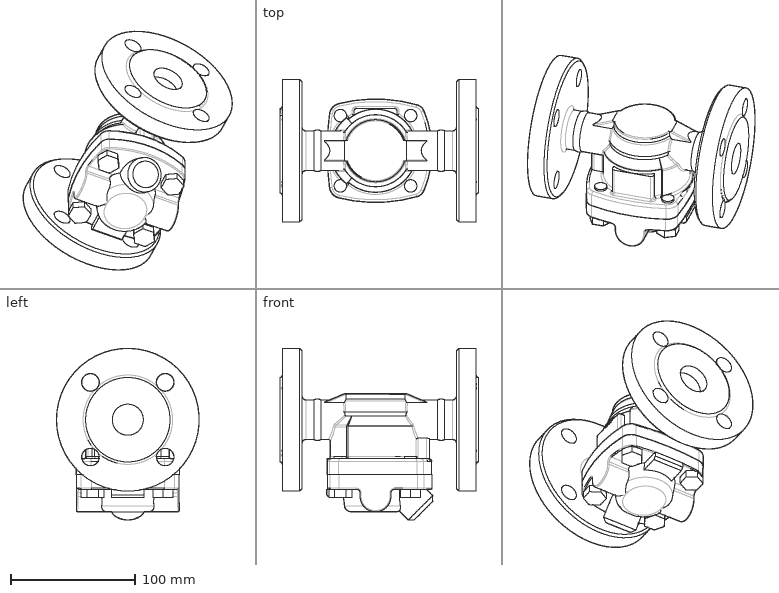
import cadquery as cq
import math

BODY_X = -3.0

HALF_LENGTH = 80.0
FLANGE_RADIUS = 57.5
FLANGE_TOTAL = 18.0
FLANGE_CHAMFER = 2.0
FACE_RADIUS = 34.0
FACE_HEIGHT = 2.0
BOLT_CIRCLE_RADIUS = 42.5
BOLT_HOLE_DIAMETER = 14.0
BOLT_HOLES = 4
BORE_DIAMETER = 25.0
BORE_DEPTH = 10.0
PIPE_RADIUS = 16.0
NECK_FILLET = 3.0
BEAD_START = 47.0
BEAD_WIDTH = 5.7
BEAD_HEIGHT = 0.8

CAP_TOP = 21.0
CAP_RADIUS = 25.0
CAP_ROUND = 0.9
CAP_BOTTOM = 16.8
NECK_TOP_RADIUS = 25.8
NECK_TOP = 15.2
SHOULDER_RADIUS = 29.0
SHOULDER_TOP = 6.0
SHOULDER_BOTTOM = 3.0
BARREL_RADIUS = 33.5
BARREL_TOP = -5.0
BARREL_ROUND = 2.0
INLET_OFFSET = 3.0
INLET_HALF_ANGLE = 49.0
BASE_FILLET = 1.7
BODY_PIPE_FILLET = 1.5

FIN_HALF_WIDTH = 8.3
FIN_FLAT = 25.0
FIN_REACH = 41.5
FIN_TIP_Z = 14.0
FIN_ROUND = 1.0

RIB_HALF_WIDTH = 6.0
RIB_END = 43.6
RIB_ROUND = 2.5
PLATE_PAD_HALF_WIDTH = 17.3
PLATE_PAD_Y = 33.9
PLATE_PAD_TOP = -8.0
PLATE_PAD_ROUND = 2.0

JOINT_TOP = -31.4
JOINT_SPLIT = -44.1
JOINT_BOTTOM = -56.0
FLANGE_HALF_WIDTH = 41.7
COVER_HALF_WIDTH = 41.4
JOINT_LEFT = -39.0
JOINT_RIGHT = 45.3
COVER_SHIFT = 0.3
SIDE_ARC_RADIUS = 122.0
LEFT_ARC_RADIUS = 230.0
RIGHT_ARC_RADIUS = 82.0
LEFT_CORNER = 10.0
RIGHT_CORNER = 8.5
JOINT_TOP_ROUND = 2.2

COVER_BOLTS = 4
FIRST_BOLT_ANGLE = 45.0
HEAD_SIDES = 6
HEAD_TURN = 45.0
STUD_PITCH = 40.0
STUD_DIAMETER = 10.0
STUD_TOP = -29.8
HEAD_ACROSS_FLATS = 16.0
HEAD_BOTTOM = -62.6

CUP_FLOOR_RADIUS = 21.4
CUP_DRAFT = 8.0
CUP_BOTTOM = -74.1
CUP_ROUND = 5.5
TONGUE_RADIUS = 12.4
TONGUE_ROOT_ROUND = 3.0
TONGUE_EDGE_ROUND = 0.9
LUG_END = -39.4
LUG_HALF_WIDTH = 13.0
LUG_BOTTOM = -62.6
LUG_CHAMFER = 2.2

PORT_RADIUS = 14.0
PORT_CHAMFER = 3.3
PORT_LOWEST = -80.77
PORT_END_X = 38.5

ARC_MIDDLE = 1 - math.sqrt(0.5)
LEVEL_TOLERANCE = 0.01
SLAB_RADIUS = 39.0
SLAB_DEPTH = 3.0


class PipeSeam(cq.Selector):
    """Edges that lie on the pipe surface around the body, along the body-to-pipe seam."""

    def filter(self, objects):
        return [edge for edge in objects if self.on_seam(edge)]

    @staticmethod
    def on_seam(edge):
        points = [edge.positionAt(t) for t in (0, 0.3, 0.6, 1)]
        on_pipe = all(abs(math.hypot(p.y, p.z) - PIPE_RADIUS) < LEVEL_TOLERANCE for p in points)
        return on_pipe and max(abs(p.x) for p in points) < BEAD_START


def at_body(shape):
    """Move a shape built about the Z axis onto the body axis."""
    return shape.translate((BODY_X, 0, 0))


def box(x_min, x_max, y_min, y_max, z_min, z_max):
    size = (x_max - x_min, y_max - y_min, z_max - z_min)
    return cq.Workplane("XY").box(*size, centered=False).translate((x_min, y_min, z_min))


def disc(x, y, radius, z_min, z_max):
    return cq.Workplane("XY", origin=(x, y, z_min)).circle(radius).extrude(z_max - z_min)


def pipe_end():
    """Outlet half of the pipe with its weld bead and flange."""
    back = HALF_LENGTH - FLANGE_TOTAL
    front = HALF_LENGTH - FACE_HEIGHT
    half = (
        cq.Workplane("XY")
        .moveTo(0, 0)
        .lineTo(0, PIPE_RADIUS)
        .lineTo(BEAD_START, PIPE_RADIUS)
        .threePointArc(
            (BEAD_START + BEAD_WIDTH / 2, PIPE_RADIUS + BEAD_HEIGHT),
            (BEAD_START + BEAD_WIDTH, PIPE_RADIUS),
        )
        .lineTo(back - NECK_FILLET, PIPE_RADIUS)
        .threePointArc(
            (back - NECK_FILLET * ARC_MIDDLE, PIPE_RADIUS + NECK_FILLET * ARC_MIDDLE),
            (back, PIPE_RADIUS + NECK_FILLET),
        )
        .lineTo(back, FLANGE_RADIUS - FLANGE_CHAMFER)
        .lineTo(back + FLANGE_CHAMFER, FLANGE_RADIUS)
        .lineTo(front, FLANGE_RADIUS)
        .lineTo(front, FACE_RADIUS + FACE_HEIGHT)
        .threePointArc(
            (front + FACE_HEIGHT * ARC_MIDDLE, FACE_RADIUS + FACE_HEIGHT * ARC_MIDDLE),
            (HALF_LENGTH, FACE_RADIUS),
        )
        .lineTo(HALF_LENGTH, 0)
        .close()
        .revolve(360, (0, 0, 0), (1, 0, 0))
    )
    first_angle = 180 / BOLT_HOLES
    holes = (
        cq.Workplane("YZ", origin=(back, 0, 0))
        .polarArray(BOLT_CIRCLE_RADIUS, first_angle, 360, BOLT_HOLES)
        .circle(BOLT_HOLE_DIAMETER / 2)
        .extrude(FLANGE_TOTAL)
    )
    bore = (
        cq.Workplane("YZ", origin=(HALF_LENGTH - BORE_DEPTH, 0, 0))
        .circle(BORE_DIAMETER / 2)
        .extrude(BORE_DEPTH)
    )
    return half.cut(holes).cut(bore)


def edges_at_level(shape, level, reach):
    """Edges that lie at height `level` within `reach` of the body axis."""
    low = (-reach, -reach, level - LEVEL_TOLERANCE)
    high = (reach, reach, level + LEVEL_TOLERANCE)
    return shape.edges(cq.selectors.BoxSelector(low, high, boundingbox=True))


def with_base_fillet(post):
    """Stand a post on a slab sunk in the body flange and fillet its foot."""
    slab = disc(0, 0, SLAB_RADIUS, JOINT_TOP - SLAB_DEPTH, JOINT_TOP)
    return edges_at_level(slab.union(post), JOINT_TOP, SLAB_RADIUS - LEVEL_TOLERANCE).fillet(BASE_FILLET)


def blended_with_pipe(shape):
    """Join a body piece to a plain length of the pipe and fillet the seam between them."""
    run = cq.Workplane("YZ", origin=(-BEAD_START, 0, 0)).circle(PIPE_RADIUS).extrude(2 * BEAD_START)
    return run.union(shape).edges(PipeSeam()).fillet(BODY_PIPE_FILLET)


def turned(points):
    """Solid of revolution about Z from a list of (radius, height) points."""
    return cq.Workplane("XZ").polyline(points).close().revolve(360, (0, 0, 0), (0, 1, 0))


def neck():
    """Cap, flared neck blended into the pipe, and the straight shoulder below it."""
    cap = disc(0, 0, CAP_RADIUS, SHOULDER_BOTTOM, CAP_TOP)
    cap = edges_at_level(cap, CAP_TOP, 2 * CAP_RADIUS).fillet(CAP_ROUND)
    collar = turned(
        [
            (0, CAP_BOTTOM),
            (CAP_RADIUS, CAP_BOTTOM),
            (NECK_TOP_RADIUS, NECK_TOP),
            (NECK_TOP_RADIUS, SHOULDER_BOTTOM),
            (0, SHOULDER_BOTTOM),
        ]
    )
    shoulder = disc(0, 0, SHOULDER_RADIUS, SHOULDER_BOTTOM, SHOULDER_TOP)
    slope = (SHOULDER_RADIUS - NECK_TOP_RADIUS) / (NECK_TOP - SHOULDER_TOP)
    flare_foot_radius = NECK_TOP_RADIUS + slope * (NECK_TOP + CAP_TOP)
    flare = turned(
        [
            (0, CAP_TOP),
            (NECK_TOP_RADIUS - slope * (CAP_TOP - NECK_TOP), CAP_TOP),
            (flare_foot_radius, -CAP_TOP),
            (0, -CAP_TOP),
        ]
    )
    flare_levels = disc(0, 0, BEAD_START, SHOULDER_TOP, NECK_TOP)
    return cap.union(collar).union(shoulder).union(blended_with_pipe(flare).intersect(flare_levels))


def barrel():
    """Barrel and the cone above it, the cone running on up inside the neck."""
    slope = (BARREL_RADIUS - SHOULDER_RADIUS) / (SHOULDER_BOTTOM - BARREL_TOP)
    cone_end_radius = BARREL_RADIUS - slope * (CAP_BOTTOM - BARREL_TOP)
    shape = turned(
        [
            (0, CAP_BOTTOM),
            (cone_end_radius, CAP_BOTTOM),
            (BARREL_RADIUS, BARREL_TOP),
            (BARREL_RADIUS, JOINT_TOP),
            (0, JOINT_TOP),
        ]
    )
    shape = edges_at_level(shape, BARREL_TOP, 2 * BARREL_RADIUS).fillet(BARREL_ROUND)
    return blended_with_pipe(shape)


def inlet_bulge():
    """Sector of the barrel on the inlet side, set outward, with its cone leaning to match."""
    lower = disc(-INLET_OFFSET, 0, BARREL_RADIUS, JOINT_TOP, BARREL_TOP)
    scale = (CAP_BOTTOM - BARREL_TOP) / (SHOULDER_BOTTOM - BARREL_TOP)
    cone_end_radius = BARREL_RADIUS - scale * (BARREL_RADIUS - SHOULDER_RADIUS)
    cone = (
        cq.Workplane("XY", origin=(-INLET_OFFSET, 0, BARREL_TOP))
        .circle(BARREL_RADIUS)
        .workplane(offset=CAP_BOTTOM - BARREL_TOP)
        .center(scale * INLET_OFFSET, 0)
        .circle(cone_end_radius)
        .loft(ruled=True)
    )
    bulge = edges_at_level(lower.union(cone), BARREL_TOP, 2 * BARREL_RADIUS).fillet(BARREL_ROUND)
    reach = BEAD_START
    half_span = reach * math.tan(math.radians(INLET_HALF_ANGLE))
    sector = (
        cq.Workplane("XY", origin=(0, 0, JOINT_TOP))
        .polyline([(0, 0), (-reach, half_span), (-reach, -half_span)])
        .close()
        .extrude(CAP_TOP - JOINT_TOP)
    )
    return blended_with_pipe(bulge).intersect(sector)


def fin():
    """Wedge that runs from the cap down to the outlet pipe."""
    return (
        cq.Workplane("XZ", origin=(0, FIN_HALF_WIDTH, 0))
        .polyline([(0, CAP_TOP), (FIN_FLAT, CAP_TOP), (FIN_REACH, FIN_TIP_Z), (FIN_REACH, 0), (0, 0)])
        .close()
        .extrude(2 * FIN_HALF_WIDTH)
        .edges("not (|X or |Y or |Z)")
        .fillet(FIN_ROUND)
    )


def outlet_rib():
    """Rib under the outlet pipe, faired into the barrel at its root."""
    rib = box(0, RIB_END, -RIB_HALF_WIDTH, RIB_HALF_WIDTH, JOINT_TOP, BARREL_TOP)
    rib = rib.edges(">X and |Z").fillet(RIB_ROUND)
    core = disc(0, 0, BARREL_RADIUS, JOINT_TOP, BARREL_TOP)
    root_zone = cq.selectors.BoxSelector(
        (BARREL_RADIUS - RIB_ROUND, -RIB_HALF_WIDTH - LEVEL_TOLERANCE, JOINT_TOP),
        (BARREL_RADIUS - LEVEL_TOLERANCE, RIB_HALF_WIDTH + LEVEL_TOLERANCE, BARREL_TOP),
    )
    return core.union(rib).edges("|Z").edges(root_zone).fillet(BASE_FILLET)


def name_plate_pad():
    """Flat pad standing on the body flange at the +Y side of the barrel."""
    pad = box(-PLATE_PAD_HALF_WIDTH, PLATE_PAD_HALF_WIDTH, 0, PLATE_PAD_Y, JOINT_TOP, PLATE_PAD_TOP)
    return pad.edges(">Y and |Z").fillet(PLATE_PAD_ROUND)


def joint_block(half_width, z_min, z_max):
    """Four bulged sides, each a large arc, with rounded corners."""
    block = disc(0, half_width - SIDE_ARC_RADIUS, SIDE_ARC_RADIUS, z_min, z_max)
    block = block.intersect(disc(0, SIDE_ARC_RADIUS - half_width, SIDE_ARC_RADIUS, z_min, z_max))
    block = block.intersect(disc(JOINT_LEFT + LEFT_ARC_RADIUS, 0, LEFT_ARC_RADIUS, z_min, z_max))
    right_disc = disc(RIGHT_ARC_RADIUS - JOINT_RIGHT, 0, RIGHT_ARC_RADIUS, z_min, z_max).mirror("YZ")
    block = block.intersect(right_disc)
    block = block.edges("|Z").edges("<X").fillet(LEFT_CORNER)
    return block.edges("|Z").edges(">X").fillet(RIGHT_CORNER)


def cover_block(z_min, z_max):
    return joint_block(COVER_HALF_WIDTH, z_min, z_max).translate((COVER_SHIFT, 0, 0))


def tongue():
    """Rounded ridge across the cover along Y, ending flush with its bulged sides."""
    centre_z = CUP_BOTTOM + TONGUE_RADIUS
    flare = TONGUE_RADIUS + TONGUE_ROOT_ROUND
    root_z = JOINT_BOTTOM - TONGUE_ROOT_ROUND
    inset = TONGUE_ROOT_ROUND * ARC_MIDDLE
    prism = (
        cq.Workplane("XZ", origin=(0, COVER_HALF_WIDTH, 0))
        .moveTo(-flare, JOINT_BOTTOM)
        .threePointArc((-TONGUE_RADIUS - inset, JOINT_BOTTOM - inset), (-TONGUE_RADIUS, root_z))
        .lineTo(-TONGUE_RADIUS, centre_z)
        .threePointArc((0, CUP_BOTTOM), (TONGUE_RADIUS, centre_z))
        .lineTo(TONGUE_RADIUS, root_z)
        .threePointArc((TONGUE_RADIUS + inset, JOINT_BOTTOM - inset), (flare, JOINT_BOTTOM))
        .lineTo(flare, JOINT_SPLIT)
        .lineTo(-flare, JOINT_SPLIT)
        .close()
        .extrude(2 * COVER_HALF_WIDTH)
    )
    return prism.intersect(cover_block(CUP_BOTTOM, JOINT_SPLIT))


def inlet_lug():
    """Block under the cover from the cup out to the inlet side."""
    lug = box(LUG_END, 0, -LUG_HALF_WIDTH, LUG_HALF_WIDTH, LUG_BOTTOM, JOINT_BOTTOM)
    return lug.edges("<X and <Z").chamfer(LUG_CHAMFER)


def cup():
    """Tapered cup under the cover with a rounded floor edge."""
    return (
        cq.Workplane("XY", origin=(-INLET_OFFSET / 2, 0, CUP_BOTTOM))
        .slot2D(2 * CUP_FLOOR_RADIUS + INLET_OFFSET, 2 * CUP_FLOOR_RADIUS)
        .extrude(JOINT_BOTTOM - CUP_BOTTOM, taper=-CUP_DRAFT)
        .faces("<Z")
        .edges()
        .fillet(CUP_ROUND)
    )


def drain_port():
    """Plain cylinder from inside the cup to a chamfered end face."""
    end_radius = PORT_RADIUS - PORT_CHAMFER
    end_z = PORT_LOWEST + end_radius * math.sqrt(0.5)
    end_plane = cq.Plane(origin=(PORT_END_X, 0, end_z), xDir=(0, 1, 0), normal=(-1, 0, 1))
    run_to_axis = PORT_END_X * math.sqrt(2)
    length = run_to_axis - PORT_RADIUS
    port = cq.Workplane(end_plane).circle(PORT_RADIUS).extrude(length)
    return port.faces("<(-1,0,1)").chamfer(PORT_CHAMFER)


def cover_bolt(angle):
    """Hexagon head bolt below the cover with the stud end showing above the body flange."""
    head = (
        cq.Workplane("XY", origin=(0, 0, HEAD_BOTTOM))
        .polygon(HEAD_SIDES, HEAD_ACROSS_FLATS, circumscribed=True)
        .extrude(JOINT_BOTTOM - HEAD_BOTTOM)
    )
    stud = disc(0, 0, STUD_DIAMETER / 2, HEAD_BOTTOM, STUD_TOP)
    bolt = head.union(stud).rotate((0, 0, 0), (0, 0, 1), HEAD_TURN).translate((STUD_PITCH, 0, 0))
    return bolt.rotate((0, 0, 0), (0, 0, 1), angle)


outlet = pipe_end()
pipe = outlet.union(outlet.mirror("YZ"))

barrel_with_foot = with_base_fillet(barrel().union(inlet_bulge()))
body = at_body(barrel_with_foot.union(neck())).union(pipe)
outlet_fin = fin()
for feature in (outlet_fin, outlet_fin.mirror("YZ"), outlet_rib(), with_base_fillet(name_plate_pad())):
    body = body.union(at_body(feature))

flange = joint_block(FLANGE_HALF_WIDTH, JOINT_SPLIT, JOINT_TOP)
flange = flange.faces(">Z").edges().fillet(JOINT_TOP_ROUND)
cover = cover_block(JOINT_BOTTOM, JOINT_SPLIT).union(tongue())
cover = cover.faces("<Y or >Y").edges("not |Z").edges("not >Z").fillet(TONGUE_EDGE_ROUND)
for feature in (inlet_lug(), cup(), drain_port()):
    cover = cover.union(feature)
for index in range(COVER_BOLTS):
    cover = cover.union(cover_bolt(FIRST_BOLT_ANGLE + 360 / COVER_BOLTS * index))

result = body.union(at_body(flange)).union(at_body(cover))